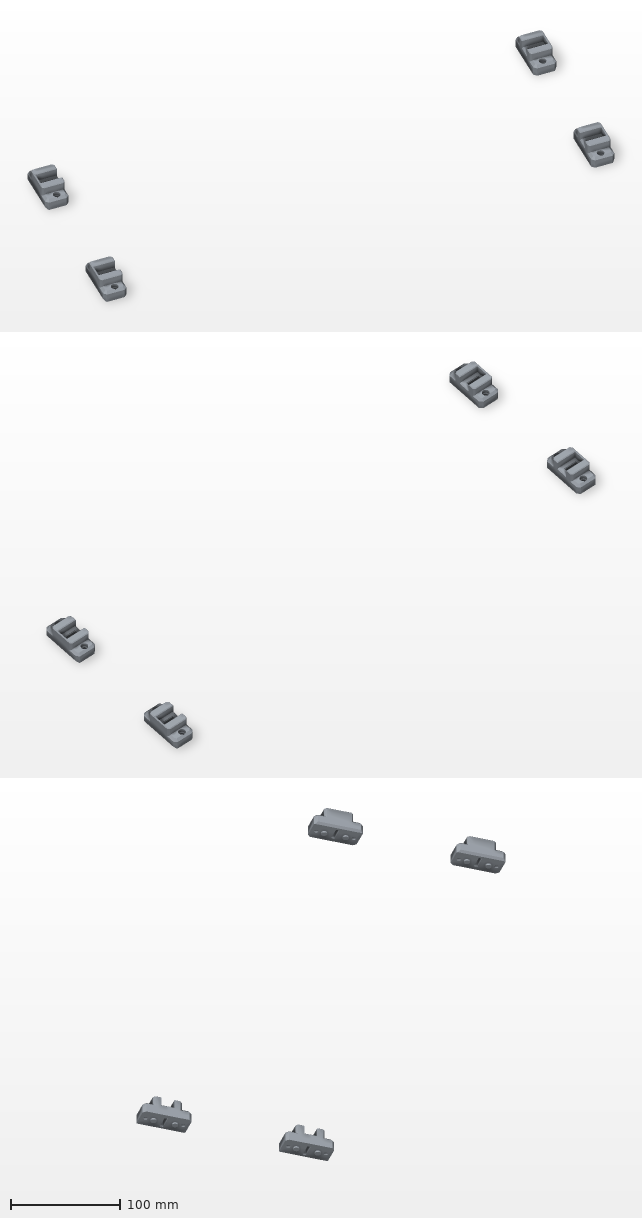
import cadquery as cq

overall_length_x = 185.11
overall_length_y = 506.01
overall_height = 21.21

base_length = 47.2
base_depth = 22.9
base_corner_chamfer = 2.8
base_top_chamfer = 2.4
base_bottom_chamfer = 2.0

foot_offset = 10.4
foot_diameter = 5.8
foot_height = 1.6

tower_length = 28.0
tower_height = 8.4
tower_corner_chamfer = 1.9
tower_top_chamfer = 0.8

channel_width = 12.4
end_wall = 1.8
sill_chamfer = 1.1

slot_width = 3.2
slot_length = 13.7
recess_width = 4.7
recess_depth = 0.5

screw_offset = 18.2
screw_diameter = 4.2
head_diameter = 7.1
head_depth = 3.8

centre_line_y = -1.05

base_height = overall_height - foot_height - tower_height
tower_bottom = base_height - base_top_chamfer
pitch_x = overall_length_x - base_length
pitch_y = overall_length_y - base_depth
screw_places = [(-screw_offset, centre_line_y), (screw_offset, centre_line_y)]
foot_places = [(-foot_offset, centre_line_y), (foot_offset, centre_line_y)]


def block(length, depth, bottom, top, middle_y=0):
    """A box between two levels, centred on X."""
    start = cq.Workplane("XY", origin=(0, middle_y, bottom))
    return start.box(length, depth, top - bottom, centered=(True, True, False))


def cylinders(places, diameter, bottom, top):
    """Upright cylinders between two levels."""
    start = cq.Workplane("XY", origin=(0, 0, bottom))
    return start.pushPoints(places).circle(diameter / 2).extrude(top - bottom)


def make_base():
    base = block(base_length, base_depth, 0, base_height)
    base = base.edges("|Z").chamfer(base_corner_chamfer)
    base = base.faces(">Z").edges().chamfer(base_top_chamfer)
    return base.faces("<Z").edges(">Y").chamfer(base_bottom_chamfer)


def make_tower():
    """Two cheeks and the end wall, reaching down past the top chamfer of the base."""
    top = base_height + tower_height
    tower = block(tower_length, base_depth, tower_bottom, top)
    tower = tower.edges("|Z").chamfer(tower_corner_chamfer)
    tower = tower.cut(block(channel_width, base_depth, tower_bottom, top, -end_wall))
    return tower.faces(">Z").edges().chamfer(tower_top_chamfer)


def make_sill():
    """The channel floor between the cheeks, with a small chamfer at its open end."""
    sill = block(channel_width, base_depth - end_wall, tower_bottom, base_height, -end_wall / 2)
    return sill.faces(">Z").edges("<Y").chamfer(sill_chamfer)


def cut_slot(clamp):
    clamp = clamp.cut(block(slot_width, slot_length, 0, base_height))
    return clamp.cut(block(recess_width, slot_length, base_height - recess_depth, base_height))


def cut_screw_holes(clamp):
    clamp = clamp.cut(cylinders(screw_places, screw_diameter, 0, base_height))
    return clamp.cut(cylinders(screw_places, head_diameter, base_height - head_depth, base_height))


def make_clamp():
    clamp = make_base().union(make_tower()).union(make_sill())
    clamp = cut_slot(clamp)
    clamp = cut_screw_holes(clamp)
    return clamp.union(cylinders(foot_places, foot_diameter, -foot_height, 0))


clamps = []
for side_x in (-1, 1):
    for side_y, turn in ((-1, 180), (1, 0)):
        clamp = make_clamp().rotate((0, 0, 0), (0, 0, 1), turn)
        clamps.append(clamp.translate((side_x * pitch_x / 2, side_y * pitch_y / 2, 0)))

result = cq.Compound.makeCompound([clamp.solids().val() for clamp in clamps])